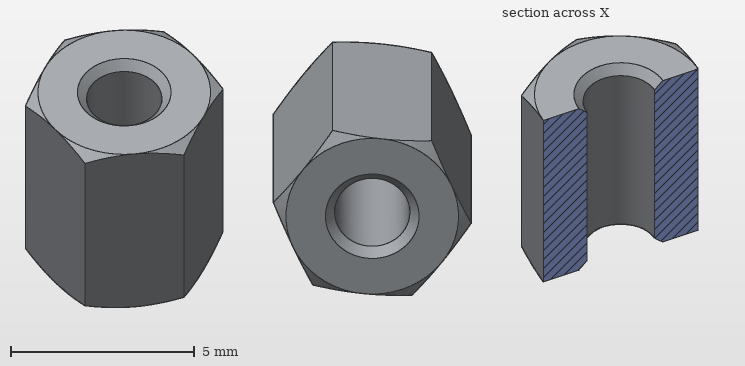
import cadquery as cq
import math

HEX_SIDES = 6
LENGTH = 6.0
ACROSS_FLATS = 4.7
CORNER_CHAMFER_ANGLE = 30.0
BORE_DIAMETER = 2.05
COUNTERSINK_DIAMETER = 2.55

ACROSS_CORNERS = ACROSS_FLATS / math.cos(math.pi / HEX_SIDES)
FLAT_RADIUS = ACROSS_FLATS / 2
CORNER_RADIUS = ACROSS_CORNERS / 2
CORNER_DROP = (CORNER_RADIUS - FLAT_RADIUS) * math.tan(math.radians(CORNER_CHAMFER_ANGLE))
COUNTERSINK_DEPTH = (COUNTERSINK_DIAMETER - BORE_DIAMETER) / 2


def revolve_about_z(profile_points):
    """Solid of revolution from (radius, height) points."""
    profile = cq.Workplane("XZ").polyline(profile_points).close()
    return profile.revolve(360, (0, 0, 0), (0, 1, 0))


def hex_body():
    """Hexagonal prism with two corners on the X axis."""
    return cq.Workplane("XY").polygon(HEX_SIDES, ACROSS_CORNERS).extrude(LENGTH)


def corner_chamfer_envelope():
    """Cylinder with coned ends that trims the hexagon corners at both faces."""
    return revolve_about_z([
        (0, 0),
        (FLAT_RADIUS, 0),
        (CORNER_RADIUS, CORNER_DROP),
        (CORNER_RADIUS, LENGTH - CORNER_DROP),
        (FLAT_RADIUS, LENGTH),
        (0, LENGTH),
    ])


def countersunk_bore():
    """Through bore with a conical countersink at each end."""
    bore_radius = BORE_DIAMETER / 2
    countersink_radius = COUNTERSINK_DIAMETER / 2
    return revolve_about_z([
        (0, 0),
        (countersink_radius, 0),
        (bore_radius, COUNTERSINK_DEPTH),
        (bore_radius, LENGTH - COUNTERSINK_DEPTH),
        (countersink_radius, LENGTH),
        (0, LENGTH),
    ])


result = hex_body().intersect(corner_chamfer_envelope()).cut(countersunk_bore())